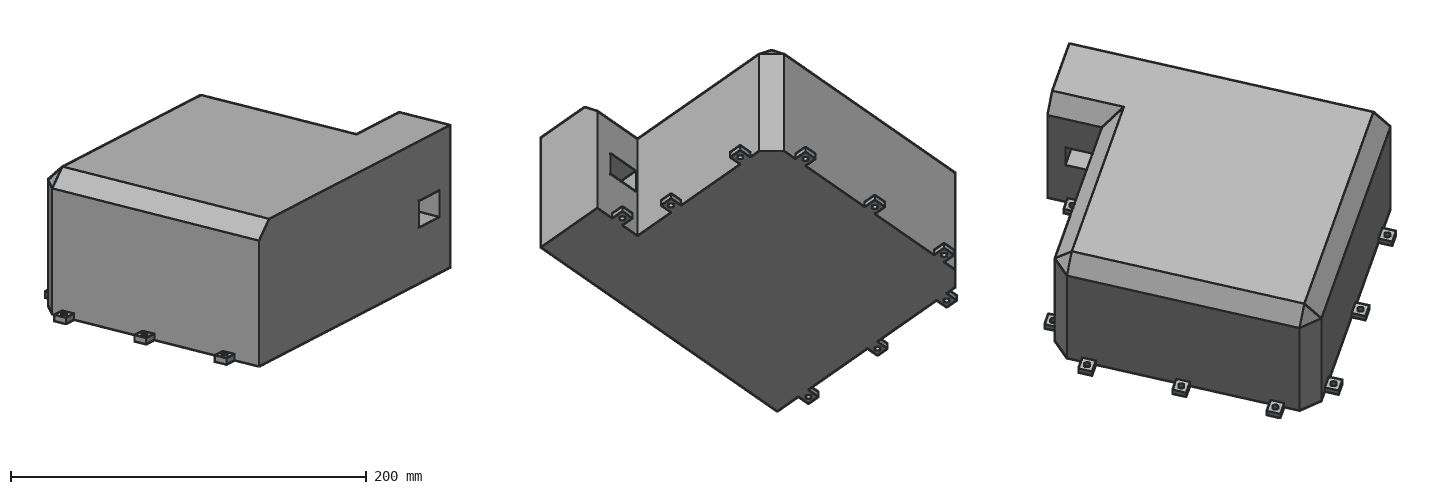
import cadquery as cq

total_length_x = 160.0
total_length_y = 196.0
height = 86.0

tab_size = 8.0
tab_thickness = 4.0
tab_hole_diameter = 3.3
tab_spacing = 55.0
tabs_per_long_wall = 3
tabs_on_step = 2
first_tab_x = 21.0
first_tab_y = 23.0
arm_tab_from_end = 15.9

arm_width = 45.0
arm_length = 32.0
chamfer = 10.0

window_width = 20.0
window_height = 16.0
window_bottom = 34.0
window_from_end = 10.5

body_x = total_length_x - tab_size
body_y = total_length_y - tab_size
step_x = body_x - arm_width
step_y = body_y - arm_length


def make_body():
    """L-shaped block with its left, front and step edges chamfered."""
    outline = [
        (0, 0),
        (body_x, 0),
        (body_x, body_y),
        (step_x, body_y),
        (step_x, step_y),
        (0, step_y),
    ]
    block = cq.Workplane("XY").polyline(outline).close().extrude(height)

    corner_edges = block.faces("<X").edges("|Z")
    top_rim = block.faces(">Z").edges().edges("not(>X or >Y)")
    return corner_edges.add(top_rim).chamfer(chamfer)


def make_window():
    """Cutter for the window through the arm."""
    window_y = body_y - window_from_end - window_width
    return (
        cq.Workplane("XY")
        .box(arm_width, window_width, window_height, centered=False)
        .translate((step_x, window_y, window_bottom))
    )


def make_tab(center_x, center_y):
    """Square tab standing on the base plane, with a vertical screw hole."""
    return (
        cq.Workplane("XY")
        .center(center_x, center_y)
        .rect(tab_size, tab_size)
        .circle(tab_hole_diameter / 2)
        .extrude(tab_thickness)
    )


reach = tab_size / 2
front_tabs = [(first_tab_x + i * tab_spacing, -reach) for i in range(tabs_per_long_wall)]
left_tabs = [(-reach, first_tab_y + i * tab_spacing) for i in range(tabs_per_long_wall)]
step_tabs = [(first_tab_x + i * tab_spacing, step_y + reach) for i in range(tabs_on_step)]
arm_tabs = [(step_x - reach, body_y - arm_tab_from_end)]

result = make_body().cut(make_window())
for tab_x, tab_y in front_tabs + left_tabs + step_tabs + arm_tabs:
    result = result.union(make_tab(tab_x, tab_y))